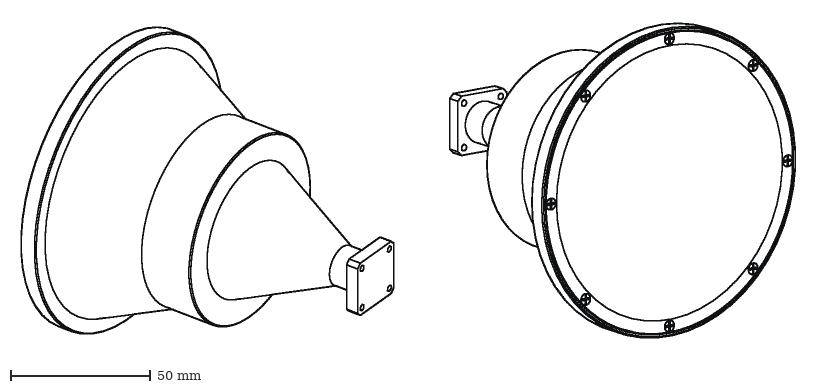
import cadquery as cq
import math

total_length = 137.7
dome_height = 21.0
rim_thickness = 6.9
lens_plate_thickness = 3.0
barrel_start = 60.2
barrel_end = 81.8
neck_length = 10.0
flange_thickness = 5.0

rim_front = dome_height
rim_back = rim_front + rim_thickness
seat_floor = rim_front + lens_plate_thickness
flange_start = total_length - flange_thickness
neck_start = flange_start - neck_length

rim_radius = 57.2
horn_mouth_radius = 51.4
barrel_radius = 36.8
taper_radius = 26.5
neck_radius = 7.7
dome_radius = 50.8
dome_points = [(1.2, 13.1), (5.2, 26.2), (11.4, 38.0)]
dome_edge_slope = 1.3
lens_plate_radius = 55.5
lens_clearance = 0.4
seat_radius = lens_plate_radius + lens_clearance
edge_chamfer = 0.5

flange_side = 22.0
flange_corner_chamfer = 1.7
flange_hole_spacing = 16.5
flange_hole_diameter = 2.2

screw_count = 8
screw_circle_radius = 53.3
screw_diameter = 4.3
screw_length = 5.0
cross_slot_length = 3.9
cross_slot_width = 0.5
cross_slot_depth = 0.5

AXIS_START = (0, 0, 0)
AXIS_END = (1, 0, 0)


def screw_places():
    """(y, z) of each screw on its circle around the X axis."""
    step = 2 * math.pi / screw_count
    return [
        (screw_circle_radius * math.cos(i * step), screw_circle_radius * math.sin(i * step))
        for i in range(screw_count)
    ]


def cylinders_at_screws():
    """Plain cylinders that run back from the front face of the rim."""
    return (
        cq.Workplane("YZ", origin=(rim_front, 0, 0))
        .pushPoints(screw_places())
        .circle(screw_diameter / 2)
        .extrude(screw_length)
    )


def make_flange():
    """Square flange with chamfered corners and four through holes."""
    return (
        cq.Workplane("YZ", origin=(flange_start, 0, 0))
        .rect(flange_side, flange_side)
        .extrude(flange_thickness)
        .edges("|X")
        .chamfer(flange_corner_chamfer)
        .faces(">X")
        .workplane()
        .rect(flange_hole_spacing, flange_hole_spacing, forConstruction=True)
        .vertices()
        .hole(flange_hole_diameter)
    )


def make_horn():
    """Turned horn with the square flange and the seat for the lens plate."""
    turned = (
        cq.Workplane("XY")
        .moveTo(seat_floor, 0)
        .lineTo(seat_floor, seat_radius)
        .lineTo(rim_front, seat_radius)
        .lineTo(rim_front, rim_radius - edge_chamfer)
        .lineTo(rim_front + edge_chamfer, rim_radius)
        .lineTo(rim_back - edge_chamfer, rim_radius)
        .lineTo(rim_back, rim_radius - edge_chamfer)
        .lineTo(rim_back, horn_mouth_radius)
        .lineTo(barrel_start, barrel_radius)
        .lineTo(barrel_end - edge_chamfer, barrel_radius)
        .lineTo(barrel_end, barrel_radius - edge_chamfer)
        .lineTo(barrel_end, taper_radius)
        .lineTo(neck_start, neck_radius)
        .lineTo(flange_start, neck_radius)
        .lineTo(flange_start, 0)
        .close()
        .revolve(360, AXIS_START, AXIS_END)
    )
    return turned.union(make_flange()).cut(cylinders_at_screws())


def make_lens():
    """Domed lens on a flat round plate that sits flush in the rim of the horn, with a thin gap around it."""
    lens = (
        cq.Workplane("XY")
        .moveTo(0, 0)
        .spline(
            [*dome_points, (rim_front, dome_radius)],
            tangents=[(0, 1), (1, dome_edge_slope)],
            includeCurrent=True,
        )
        .lineTo(rim_front, lens_plate_radius)
        .lineTo(seat_floor, lens_plate_radius)
        .lineTo(seat_floor, 0)
        .close()
        .revolve(360, AXIS_START, AXIS_END)
    )
    return lens.cut(cylinders_at_screws())


def make_screws():
    """Flush screws, each with a cross slot in its head."""
    slots = cq.Workplane("YZ", origin=(rim_front, 0, 0)).pushPoints(screw_places())
    upright_slots = slots.rect(cross_slot_width, cross_slot_length).extrude(cross_slot_depth)
    level_slots = slots.rect(cross_slot_length, cross_slot_width).extrude(cross_slot_depth)
    return cylinders_at_screws().cut(upright_slots).cut(level_slots)


horn = make_horn()
lens = make_lens()
screws = make_screws()

result = cq.Compound.makeCompound([horn.val(), lens.val(), *screws.solids().vals()])